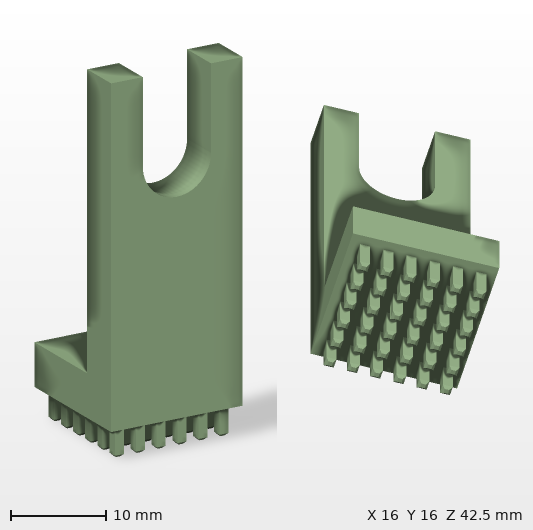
import cadquery as cq

base_side = 16.0
wall_thickness = 5.0
bracket_height = 39.0

slot_width = 8.3
slot_straight_depth = 10.0

pins_per_side = 6
pin_pitch = 2.54
pin_width = 1.1
pin_length = 3.5
pin_tip_chamfer = 0.3


def make_bracket():
    """L-profile in XZ, with the upright on the +X side and the underside at Z = 0."""
    upright_x = base_side / 2 - wall_thickness
    base = cq.Workplane("XY").box(base_side, base_side, wall_thickness, centered=(True, True, False))
    upright = (
        cq.Workplane("XY")
        .box(wall_thickness, base_side, bracket_height, centered=(False, True, False))
        .translate((upright_x, 0, 0))
    )
    return base.union(upright)


def make_slot_cutter():
    """Round-bottomed slot that runs along X and opens at the top of the upright."""
    half_width = slot_width / 2
    arc_centre_z = bracket_height - slot_straight_depth
    return (
        cq.Workplane("YZ")
        .moveTo(-half_width, bracket_height)
        .lineTo(-half_width, arc_centre_z)
        .threePointArc((0, arc_centre_z - half_width), (half_width, arc_centre_z))
        .lineTo(half_width, bracket_height)
        .close()
        .extrude(base_side / 2)
    )


def make_pins():
    """Square pins hanging below the base, each with a chamfered tip."""
    return (
        cq.Workplane("XY")
        .rarray(pin_pitch, pin_pitch, pins_per_side, pins_per_side)
        .rect(pin_width, pin_width)
        .extrude(-pin_length)
        .faces("<Z")
        .chamfer(pin_tip_chamfer)
    )


result = make_bracket().cut(make_slot_cutter()).union(make_pins())